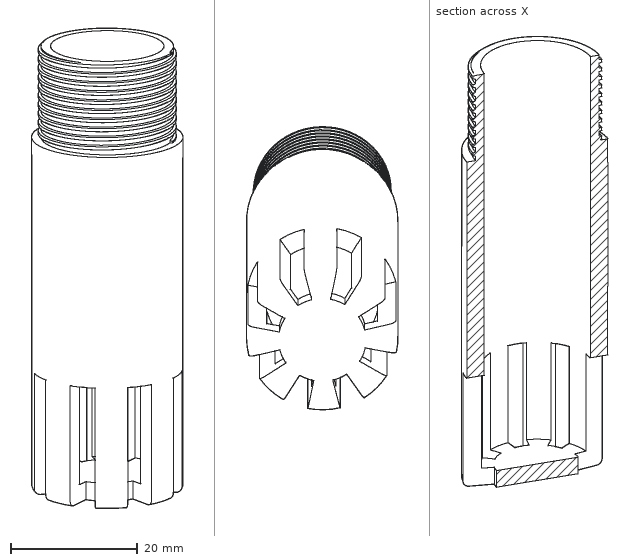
import cadquery as cq
import math

total_height = 73.0
body_radius = 12.01
bore_radius = 9.0
floor_thickness = 3.0
bottom_fillet = 1.0

neck_height = 15.0
thread_root_radius = 10.5
thread_crest_radius = 10.95
thread_turns = 10
ridge_base_width = 0.9
ridge_crest_width = 0.5
ridge_embed = 0.15

slot_count = 8
slot_angle = 20.0
slot_height = 20.0
slot_inner_radius = 6.9

shoulder_height = total_height - neck_height
thread_pitch = neck_height / thread_turns


def make_body():
    """Solid body with a rounded bottom edge and a narrower neck on top."""
    body = cq.Workplane("XY").circle(body_radius).extrude(shoulder_height)
    body = body.faces("<Z").edges().fillet(bottom_fillet)
    neck = (
        cq.Workplane("XY")
        .workplane(offset=shoulder_height)
        .circle(thread_root_radius)
        .extrude(neck_height)
    )
    return body.union(neck)


def make_thread():
    """Right-handed helical ridge, trimmed flush with the top of the neck."""
    base_radius = thread_root_radius - ridge_embed
    helix = cq.Wire.makeHelix(thread_pitch, neck_height, base_radius)
    ridge = (
        cq.Workplane("XZ")
        .polyline([
            (base_radius, -ridge_base_width / 2),
            (thread_crest_radius, -ridge_crest_width / 2),
            (thread_crest_radius, ridge_crest_width / 2),
            (base_radius, ridge_base_width / 2),
        ])
        .close()
        .sweep(cq.Workplane(helix), isFrenet=True)
        .translate((0, 0, shoulder_height))
    )
    envelope = cq.Workplane("XY").circle(body_radius).extrude(total_height)
    return ridge.intersect(envelope)


def make_bore():
    """Blind bore that leaves a floor at the bottom."""
    return (
        cq.Workplane("XY")
        .workplane(offset=floor_thickness)
        .circle(bore_radius)
        .extrude(total_height)
    )


def make_slots():
    """Radial wedges that stop at a central core."""
    reach = 2 * body_radius
    half_width = reach * math.tan(math.radians(slot_angle / 2))
    wedge = (
        cq.Workplane("XY")
        .polyline([(0, 0), (reach, -half_width), (reach, half_width)])
        .close()
        .extrude(slot_height)
    )
    core = cq.Workplane("XY").circle(slot_inner_radius).extrude(slot_height)
    slot = wedge.cut(core)
    slots = cq.Workplane("XY")
    for index in range(slot_count):
        slots = slots.add(slot.rotate((0, 0, 0), (0, 0, 1), index * 360 / slot_count))
    return slots.combine()


result = make_body().union(make_thread()).cut(make_bore()).cut(make_slots())